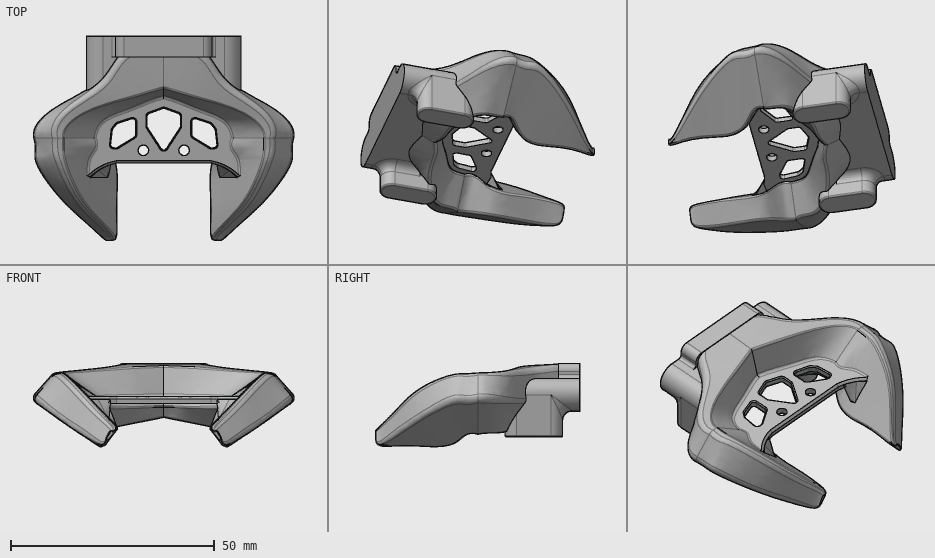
import cadquery as cq
import math

back_y = 25.0
top_z = 10.23
tip_y = -25.12
margin = 0.05

bar_radius = 4.05
bar_half_width = 19.0
bar_center_z = 2.52
bar_front_y = 11.5
bar_center_x = bar_half_width - bar_radius
bar_top_z = bar_center_z + bar_radius
bar_bottom_z = bar_center_z - bar_radius
block_half_width = 11.8
block_round = 2.0
block_root_round = 0.9
block_front_y = 19.8

foot_radius = 2.9
foot_center_x = bar_half_width - foot_radius
foot_back_y = 20.8
foot_front_y = 6.6
foot_bottom_z = -7.8
foot_edge_round = 0.4
foot_root_radius = 4.4 / 2

plate_top_z = 2.1
plate_thickness = 1.7
plate_bottom_z = plate_top_z - plate_thickness
plate_front_y = -6.2
plate_edge_chamfer = 0.6
rim_fillet = 0.8
gusset_top_z = 1.45
gusset_low_z = -3.0
gusset_upper = ((18.9, -10.6), (16.1, -8.0), (13.0, -6.4), (19.0, -6.4))
gusset_lower = ((15.0, -10.6), (13.8, -9.8), (13.4, -8.6), (19.0, -6.4))
hole_diameter = 2.53
hole_spacing = 10.0
hole_y = -3.05
plate_straight_x = 11.6
horn_middle = (16.1, -8.0)
horn_tip = (19.4, -11.2)
plate_side_corner = (18.6, 1.7)
plate_shoulder = (13.5, 6.6)
plate_apex = (0, 11.5)
window_round = 0.8
center_window = ((0, 7.3), (4.1, 5.8), (4.1, 2.7), (0, -3.6), (-4.1, 2.7), (-4.1, 5.8))
side_window = ((6.9, 5.0), (11.5, 3.5), (12.6, 2.1), (13.1, -2.3), (11.6, -2.5), (6.9, 0.4))
window_chamfer = 0.3
window_chamfer_angle = 45

corner_rounds = (0.6, 1.8, 1.5, 0.7, 0.5)
arch_sections = (
    (90, ((12.2, 9.7), (22.0, 10.2), (22.0, 2.0), (11.5, -3.2), (9.6, -0.4))),
    (60, ((12.0, 9.5), (22.4, 10.0), (23.4, 1.0), (11.8, -4.4), (9.1, -0.5))),
    (40, ((14.2, 9.1), (20.8, 9.3), (21.4, 1.0), (15.0, -5.6), (9.8, -0.6))),
    (20, ((19.5, 8.4), (24.0, 8.6), (26.0, 1.0), (19.0, -6.9), (12.3, -0.6))),
    (8, ((23.6, 8.05), (26.7, 8.1), (31.3, 1.3), (19.6, -7.1), (13.1, -0.6))),
    (0, ((24.7, 7.95), (26.8, 7.95), (32.68, 1.5), (20.0, -7.4), (13.3, -0.6))),
)
arm_sections = (
    (-4.0, ((24.5, 7.75), (26.6, 7.7), (32.4, 1.2), (18.3, -8.3), (12.6, -1.9))),
    (-8.0, ((23.4, 7.0), (25.2, 7.0), (31.2, 0.4), (15.6, -10.27), (11.3, -5.4))),
    (-15.0, ((20.0, 3.6), (21.7, 3.4), (25.7, -3.6), (15.6, -10.27), (11.3, -5.4))),
    (-20.0, ((15.8, -1.0), (17.3, -1.3), (20.5, -7.0), (15.6, -10.27), (11.3, -5.4))),
    (-24.0, ((12.2, -5.0), (13.2, -5.3), (15.8, -9.3), (14.7, -10.2), (11.4, -5.9))),
    (tip_y, ((12.7, -6.2), (13.3, -6.4), (14.2, -8.1), (13.7, -8.5), (12.4, -6.9))),
)
longest_setback = 0.4


def rounded_section(plane, corners, rounds):
    """Closed wire on the plane through the corners, each corner rounded by an arc."""
    starts, ends, middles = [], [], []
    count = len(corners)
    for i, corner in enumerate(corners):
        vertex = cq.Vector(*corner)
        before = cq.Vector(*corners[i - 1]) - vertex
        after = cq.Vector(*corners[(i + 1) % count]) - vertex
        half_angle = before.getAngle(after) / 2
        room = longest_setback * min(before.Length, after.Length)
        setback = min(rounds[i] / math.tan(half_angle), room)
        radius = setback * math.tan(half_angle)
        bisector = (before.normalized() + after.normalized()).normalized()
        starts.append(vertex + before.normalized() * setback)
        ends.append(vertex + after.normalized() * setback)
        middles.append(vertex + bisector * (radius / math.sin(half_angle) - radius))
    edges = []
    for i in range(count):
        start, middle, end, following = (
            plane.toWorldCoords(p) for p in (starts[i], middles[i], ends[i], starts[(i + 1) % count])
        )
        edges.append(cq.Edge.makeThreePointArc(start, middle, end))
        edges.append(cq.Edge.makeLine(end, following))
    return cq.Wire.assembleEdges(edges)


def smooth_loft(wires):
    """Solid with smooth sides passing through all the wires, closed at both ends."""
    solid = cq.occ_impl.shapes.loft(*wires, cap=True, parametrization="centripetal", degree=3)
    return cq.Workplane(obj=solid)


def make_half_shell():
    arch_wires = []
    for angle, corners in arch_sections:
        turn = math.radians(angle)
        outward = (math.cos(turn), math.sin(turn), 0)
        normal = (math.sin(turn), -math.cos(turn), 0)
        plane = cq.Plane((0, 0, 0), outward, normal)
        arch_wires.append(rounded_section(plane, corners, corner_rounds))
    arm_wires = [arch_wires[-1]]
    for y, corners in arm_sections:
        plane = cq.Plane((0, y, 0), (1, 0, 0), (0, -1, 0))
        arm_wires.append(rounded_section(plane, corners, corner_rounds))
    return smooth_loft(arch_wires).union(smooth_loft(arm_wires))


def both_sides(half):
    return half.union(half.mirror("YZ"))


def make_half_bar():
    bar = (
        cq.Workplane("XZ", origin=(0, back_y, 0))
        .moveTo(0, bar_bottom_z)
        .lineTo(bar_center_x, bar_bottom_z)
        .threePointArc((bar_half_width, bar_center_z), (bar_center_x, bar_top_z))
        .lineTo(0, bar_top_z)
        .close()
        .extrude(back_y - bar_front_y)
    )
    root_x = block_half_width + block_root_round
    bend = math.sqrt(0.5)
    round_x = block_half_width - block_round
    round_z = top_z - block_round
    root_z = bar_top_z + block_root_round
    block = (
        cq.Workplane("XZ", origin=(0, back_y, 0))
        .moveTo(0, bar_center_z)
        .lineTo(root_x, bar_center_z)
        .lineTo(root_x, bar_top_z)
        .threePointArc(
            (root_x - block_root_round * bend, root_z - block_root_round * bend),
            (block_half_width, root_z),
        )
        .lineTo(block_half_width, round_z)
        .threePointArc((round_x + block_round * bend, round_z + block_round * bend), (round_x, top_z))
        .lineTo(0, top_z)
        .close()
        .extrude(back_y - block_front_y)
    )
    return bar.union(block)


def make_foot():
    length = foot_back_y - foot_front_y
    center_y = (foot_back_y + foot_front_y) / 2
    return (
        cq.Workplane("XY", origin=(foot_center_x, center_y, foot_bottom_z))
        .slot2D(length, 2 * foot_radius, 90)
        .extrude(bar_center_z - foot_bottom_z)
        .faces("<Z")
        .edges()
        .fillet(foot_edge_round)
    )


def make_half_plate():
    """Half of the plate; its outer edges lie buried in the shell and its front edge is chamfered."""
    front_edge = cq.selectors.BoxSelector(
        (0, horn_tip[1], plate_bottom_z),
        (plate_side_corner[0], plate_front_y + margin, plate_top_z + margin),
    )
    return (
        cq.Workplane("XY", origin=(0, 0, plate_bottom_z))
        .moveTo(0, plate_front_y)
        .lineTo(plate_straight_x, plate_front_y)
        .threePointArc(horn_middle, horn_tip)
        .lineTo(*plate_side_corner)
        .lineTo(*plate_shoulder)
        .lineTo(*plate_apex)
        .close()
        .extrude(plate_thickness)
        .faces(">Z")
        .edges(front_edge)
        .chamfer(plate_edge_chamfer)
    )


def cut_windows(part):
    mirrored = [(-x, y) for x, y in side_window]
    for points in (center_window, side_window, mirrored):
        cutter = (
            cq.Workplane("XY", origin=(0, 0, plate_bottom_z))
            .polyline(points)
            .close()
            .extrude(plate_thickness)
            .edges("|Z")
            .fillet(window_round)
        )
        flare = (
            cutter.faces(">Z")
            .wires()
            .toPending()
            .extrude(window_chamfer, taper=-window_chamfer_angle, combine=False)
            .translate((0, 0, -window_chamfer))
        )
        part = part.cut(cutter).cut(flare)
    return part


def cut_holes(part):
    holes = (
        cq.Workplane("XY", origin=(0, hole_y, plate_bottom_z))
        .rarray(hole_spacing, 1, 2, 1)
        .circle(hole_diameter / 2)
        .extrude(plate_thickness)
    )
    return part.cut(holes)


def make_half_rear():
    """Half of the bar with its foot, the edges where they meet filleted."""
    low_corner = (
        bar_half_width - 2 * foot_radius - margin,
        foot_back_y - foot_radius - margin,
        bar_bottom_z - margin,
    )
    high_corner = (bar_half_width + margin, foot_back_y + margin, bar_center_z + margin)
    meeting_edges = cq.selectors.BoxSelector(low_corner, high_corner)
    rear = make_half_bar().union(make_foot())
    return rear.edges("(not |Y) and (not |Z)").edges(meeting_edges).fillet(foot_root_radius)


def make_gusset():
    """Sloped web running from the underside of the plate's horn down the inner face of an arm."""
    upper = cq.Wire.makePolygon([cq.Vector(x, y, gusset_top_z) for x, y in gusset_upper], close=True)
    lower = cq.Wire.makePolygon([cq.Vector(x, y, gusset_low_z) for x, y in gusset_lower], close=True)
    return cq.Workplane(obj=cq.Solid.makeLoft([lower, upper], True))


def fillet_rim(part):
    """Fillet where the plate's top face meets the wall of the recess."""
    low_corner = (0, horn_tip[1], plate_top_z - margin)
    high_corner = (bar_half_width, plate_apex[1], plate_top_z + margin)
    selector = cq.selectors.BoxSelector(low_corner, high_corner)
    return part.edges("%BSPLINE").edges(selector).fillet(rim_fillet)


half_part = fillet_rim(make_half_shell().union(make_half_plate()))
half_part = half_part.union(make_half_rear()).union(make_gusset())
result = cut_holes(cut_windows(both_sides(half_part)))